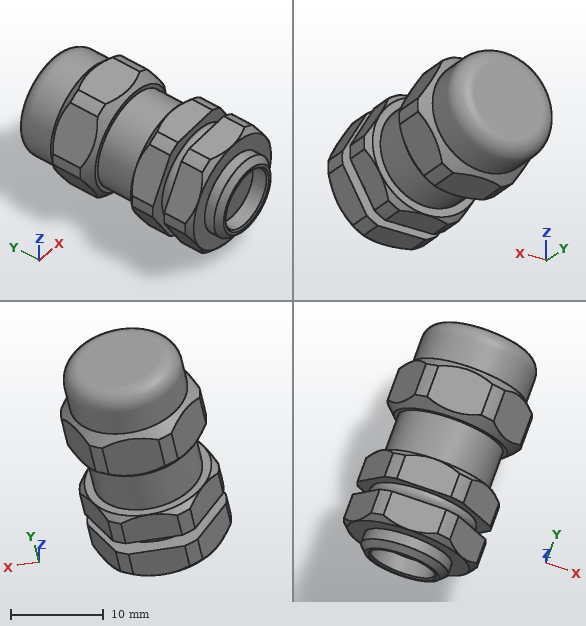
import cadquery as cq
import math


nut_start = 2.0
nut_end = 5.5
seal_end = 7.0
flange_end = 10.48
cap_start = 15.65
cap_hex_end = 21.62
total_length = 26.65

across_flats = 14.0
corner_diameter = 15.3
cap_chamfer = 1.15
nut_chamfer = 0.67

spigot_diameter = 10.0
spigot_chamfer = 0.75
neck_diameter = 12
seal_diameter = 12.26
seal_section_radius = 1.0
cap_diameter = corner_diameter - 2 * cap_chamfer
cap_rounding = 2.0

bore_diameter = 7.4
bore_depth = nut_start
bore_chamfer = 0.19


def cylinder(start, end, diameter):
    """Cylinder along Y between two stations."""
    plane = cq.Workplane("XZ", origin=(0, start, 0))
    return plane.circle(diameter / 2).extrude(start - end)


def hexagon(start, end, start_chamfer=0, end_chamfer=0):
    """Hexagon with flats facing +Z and -Z, trimmed by a round blank with 45 degree chamfers."""
    sharp_diameter = across_flats / math.cos(math.pi / 6)
    plane = cq.Workplane("XZ", origin=(0, start, 0))
    prism = plane.polygon(6, sharp_diameter).extrude(start - end)
    blank = cylinder(start, end, corner_diameter)
    if start_chamfer:
        blank = blank.faces("<Y").chamfer(start_chamfer)
    if end_chamfer:
        blank = blank.faces(">Y").chamfer(end_chamfer)
    return prism.intersect(blank)


def seal_ring():
    """Ring of round section that touches the locknut and is cut off by the flange face."""
    ring_radius = seal_diameter / 2 - seal_section_radius
    plane = cq.Workplane("XY").center(ring_radius, nut_end + seal_section_radius)
    section = plane.circle(seal_section_radius)
    ring = section.revolve(360, (-ring_radius, 0, 0), (-ring_radius, 1, 0))
    gap = cylinder(nut_end, seal_end, seal_diameter + 2 * seal_section_radius)
    core = cylinder(nut_end, seal_end, 2 * ring_radius)
    return core.union(ring.intersect(gap))


def bore():
    """Blind bore with a chamfered mouth."""
    straight = cylinder(0, bore_depth, bore_diameter)
    mouth_radius = bore_diameter / 2 + bore_chamfer
    mouth = cq.Workplane("XZ").circle(mouth_radius).extrude(-bore_chamfer, taper=45)
    return straight.union(mouth)


spigot = cylinder(0, nut_start, spigot_diameter).faces("<Y").chamfer(spigot_chamfer)
locknut = hexagon(nut_start, nut_end, start_chamfer=nut_chamfer)
flange = hexagon(seal_end, flange_end, end_chamfer=nut_chamfer)
neck = cylinder(flange_end, cap_start, neck_diameter)
cap_hex = hexagon(cap_start, cap_hex_end, cap_chamfer, cap_chamfer)
cap_dome = cylinder(cap_hex_end, total_length, cap_diameter).faces(">Y").edges().fillet(cap_rounding)

result = spigot
for section in (locknut, seal_ring(), flange, neck, cap_hex, cap_dome):
    result = result.union(section)
result = result.cut(bore())